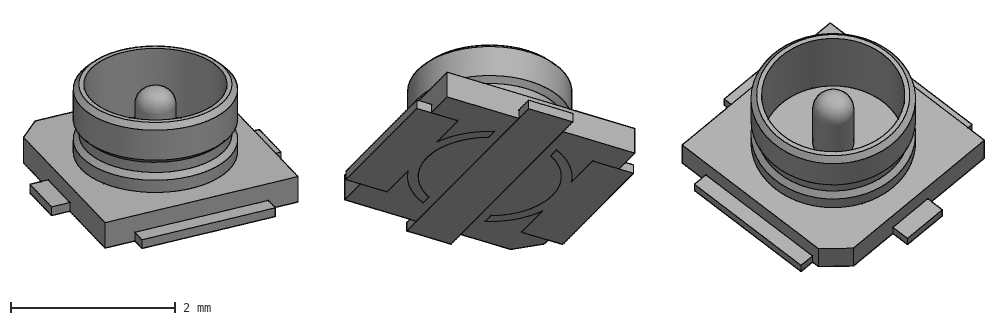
import cadquery as cq


overall_x = 3.0
overall_y = 3.09
overall_height = 1.3

housing_side = 2.6
housing_height = 0.358
corner_chamfer = 0.3

pad_thickness = 0.125
ground_pad_width = 1.798
signal_pad_width = 0.612

shell_diameter = 2.0
neck_diameter = 1.86
bore_diameter = 1.74
neck_bottom = 0.6
neck_top = 0.742
signal_clearance = pad_thickness

pin_diameter = 0.5
pin_top = 1.23
pin_rounding = 0.2

shell_radius = shell_diameter / 2
neck_radius = neck_diameter / 2
bore_radius = bore_diameter / 2
bevel = shell_radius - neck_radius


def block(size_x, size_y, size_z, center_x=0):
    """Box standing on the board plane, centred on Y = 0."""
    base = cq.Workplane("XY").center(center_x, 0)
    return base.box(size_x, size_y, size_z, centered=(True, True, False))


def make_shell():
    """Revolved ring with a bevelled snap groove and rim, reaching down to the board plane."""
    profile = [
        (bore_radius, 0),
        (shell_radius, 0),
        (shell_radius, neck_bottom - bevel),
        (neck_radius, neck_bottom),
        (neck_radius, neck_top),
        (shell_radius, neck_top + bevel),
        (shell_radius, overall_height - bevel),
        (neck_radius, overall_height),
        (bore_radius, overall_height),
    ]
    return cq.Workplane("XZ").polyline(profile).close().revolve(360, (0, 0, 0), (0, 1, 0))


def make_ground_contact():
    """Shell and its two side pads, with a gap in the buried skirt for the signal strip."""
    skirt_gap = block(signal_pad_width + 2 * signal_clearance, shell_diameter, housing_height)
    contact = make_shell().cut(skirt_gap)
    pad_length = overall_x / 2 - neck_radius
    pad_center = neck_radius + pad_length / 2
    for side in (-1, 1):
        contact = contact.union(block(pad_length, ground_pad_width, pad_thickness, side * pad_center))
    return contact


def make_signal_contact():
    """Round-topped pin on a strip whose two ends are the signal pads."""
    pin = cq.Workplane("XY").circle(pin_diameter / 2).extrude(pin_top)
    pin = pin.faces(">Z").edges().fillet(pin_rounding)
    strip = block(signal_pad_width, overall_y, pad_thickness)
    return strip.union(pin)


def make_housing(contacts):
    """Square block with one bevelled corner, recessed to hold the contacts."""
    body = block(housing_side, housing_side, housing_height)
    body = body.edges("|Z and <X and <Y").chamfer(corner_chamfer)
    for contact in contacts:
        body = body.cut(contact)
    return body


ground_contact = make_ground_contact()
signal_contact = make_signal_contact()
housing = make_housing([ground_contact, signal_contact])

result = cq.Compound.makeCompound(
    [
        housing.solids().val(),
        ground_contact.solids().val(),
        signal_contact.solids().val(),
    ]
)